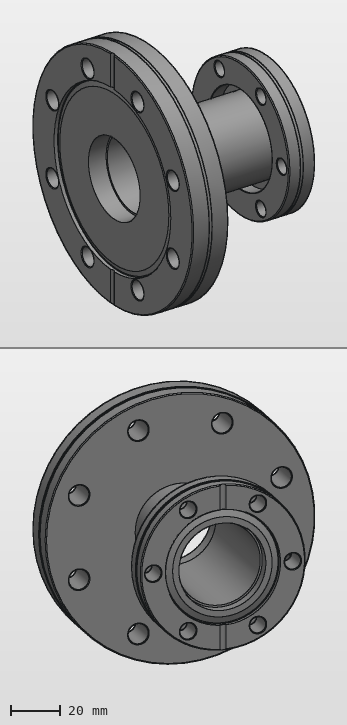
import cadquery as cq
import math

length = 75.0
edge_chamfer = 0.5

tube_diameter = 38.0
tube_bore = 34.8
flange_bore = 36.5
large_tube_seat = 9.5
small_tube_seat = 5.7

large_diameter = 113.5
large_thickness = 17.5
large_bolt_circle = 92.2
large_bolt_hole = 8.4
large_bolt_count = 8
large_line_position = 8.9
large_recess = 82.5
large_knife = 77.1

small_diameter = 69.3
small_thickness = 12.8
small_bolt_circle = 58.7
small_bolt_hole = 6.7
small_bolt_count = 6
small_line_position = 6.5
small_recess = 48.4
small_knife = 41.9
weld_pocket = 45.2
weld_pocket_depth = 5.9
weld_pocket_chamfer = 0.2

knife_depth = 0.9
seal_angle = 20.0
seal_floor_width = 0.5
line_width = 1.4
line_depth = 0.2
hole_chamfer = 0.3
leak_groove_width = 2.5
leak_groove_depth = 0.7


def disc(diameter, start, thickness):
    """Cylinder about the Y axis, growing towards +Y from start."""
    plane = cq.Workplane("XZ", origin=(0, start, 0))
    return plane.circle(diameter / 2).extrude(-thickness)


def seal_cut(recess, knife):
    """Revolved gasket recess with a sloping knife-edge face, opening at y = 0."""
    wall = recess / 2
    floor_edge = wall - seal_floor_width
    edge = knife / 2
    floor_depth = knife_depth + (floor_edge - edge) * math.tan(math.radians(seal_angle))
    profile = [
        (0, 0),
        (wall, 0),
        (wall, floor_depth),
        (floor_edge, floor_depth),
        (edge, knife_depth),
        (0, knife_depth),
    ]
    return cq.Workplane("XY").polyline(profile).close().revolve(360, (0, 0), (0, 1))


def bolt_holes(circle, diameter, count, thickness):
    """Through holes with chamfered mouths, straddling the Z axis."""
    mouth_radius = diameter / 2 + hole_chamfer
    profile = [
        (0, 0),
        (mouth_radius, 0),
        (diameter / 2, hole_chamfer),
        (diameter / 2, thickness - hole_chamfer),
        (mouth_radius, thickness),
        (0, thickness),
    ]
    hole = cq.Workplane("XY").polyline(profile).close().revolve(360, (0, 0), (0, 1))
    hole = hole.translate((0, 0, circle / 2))
    holes = cq.Workplane("XY")
    for index in range(count):
        angle = (index + 0.5) * 360 / count
        holes = holes.add(hole.rotate((0, 0, 0), (0, 1, 0), angle))
    return holes.combine()


def leak_groove(recess, diameter):
    """Two round-bottomed grooves along Z, from the gasket recess to the rim."""
    half_width = leak_groove_width / 2
    radius = (half_width**2 + leak_groove_depth**2) / (2 * leak_groove_depth)
    rod = cq.Workplane("XY", origin=(0, leak_groove_depth - radius, 0)).circle(radius)
    return rod.extrude(diameter / 2, both=True).cut(disc(recess, -2 * radius, 4 * radius))


def flange(diameter, thickness, line_position, recess, knife, circle, hole, count):
    """Flange with its sealing face at y = 0 and its back at y = thickness."""
    body = disc(diameter, 0, thickness).edges().chamfer(edge_chamfer)
    line = disc(diameter, line_position - line_width / 2, line_width)
    line = line.cut(disc(diameter - 2 * line_depth, 0, thickness))
    body = body.cut(line).cut(seal_cut(recess, knife)).cut(leak_groove(recess, diameter))
    return body.cut(bolt_holes(circle, hole, count, thickness))


large_flange = flange(
    large_diameter, large_thickness, large_line_position, large_recess, large_knife,
    large_bolt_circle, large_bolt_hole, large_bolt_count,
)

small_flange = flange(
    small_diameter, small_thickness, small_line_position, small_recess, small_knife,
    small_bolt_circle, small_bolt_hole, small_bolt_count,
)
pocket_radius = weld_pocket / 2
pocket_profile = [
    (0, small_thickness - weld_pocket_depth),
    (pocket_radius, small_thickness - weld_pocket_depth),
    (pocket_radius, small_thickness - weld_pocket_chamfer),
    (pocket_radius + weld_pocket_chamfer, small_thickness),
    (0, small_thickness),
]
pocket = cq.Workplane("XY").polyline(pocket_profile).close().revolve(360, (0, 0), (0, 1))
small_flange = small_flange.cut(pocket)
small_flange = small_flange.mirror("XZ").translate((0, length, 0))

tube = disc(tube_diameter, large_tube_seat, length - large_tube_seat - small_tube_seat)

result = large_flange.union(small_flange).union(tube)
result = result.cut(disc(tube_bore, 0, length))
result = result.cut(disc(flange_bore, 0, large_tube_seat))
result = result.cut(disc(flange_bore, length - small_tube_seat, small_tube_seat))